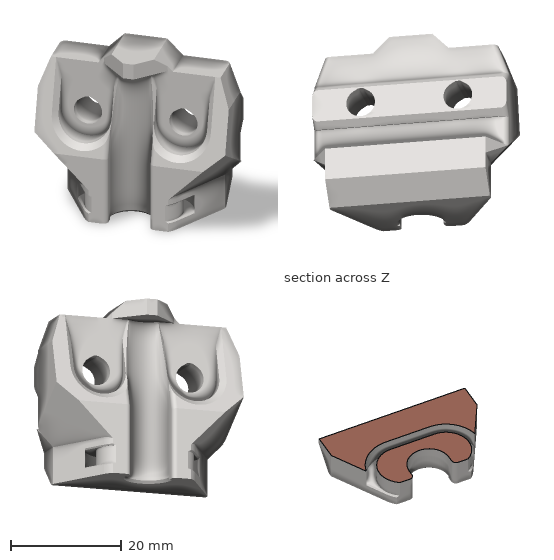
import cadquery as cq
import math

HALF_WIDTH = 18.0
BODY_TOP = 30.0
BODY_BACK = 12.0
FRONT_EDGE_Z = 13.0
FRONT_TOP_Y = 5.0
SHOULDER_HALF_WIDTH = 16.0
SHOULDER_Z = 24.5
BACK_FILLET = 1.0

FLANGE_BACK = 17.0
FLANGE_TOP = 10.0
BASE_HALF_WIDTH = 14.85
BASE_TOP = FLANGE_TOP - (HALF_WIDTH - BASE_HALF_WIDTH)
FLANGE_HEEL_CHAMFER = 4.0
FACET_ANGLE = 30.0
FACET_INSET = BODY_BACK * math.tan(math.radians(FACET_ANGLE))
BASE_FRONT_HALF_WIDTH = BASE_HALF_WIDTH - FACET_INSET
NOSE_RADIUS = 5.0
NOSE_START_Y = 1.41

BUMP_BACK = 13.4
BUMP_CHAMFER = 1.2
BUMP_HALF_HEIGHT = 4.25

HOLE_X = 9.0
HOLE_Z = 20.0
HOLE_RADIUS = 2.65
HOLE_ROOF_ANGLE = 30.0
HOLE_ROOF_HEIGHT = 2.82
POCKET_RADIUS = 5.0
POCKET_FLOOR_Y = FRONT_TOP_Y
POCKET_CHAMFER = 1.0

BORE_RADIUS = 4.0
BORE_Y = 2.0
BORE_LIP_FILLET = 0.9
BORE_CHAMFER = 0.5

TAB_TOP = 33.0
TAB_TOP_HALF_WIDTH = 4.0
TAB_POINT_HALF_WIDTH = 1.0
TAB_NECK_HALF_WIDTH = TAB_POINT_HALF_WIDTH + FRONT_TOP_Y

STRAP_Y = 4.0
STRAP_BEND_RADIUS = 4.7
STRAP_INNER_HALF_WIDTH = 9.15
STRAP_THICKNESS = 2.0
STRAP_BOTTOM = 1.96
STRAP_TOP = 5.2
STRAP_MOUTH_BEVEL = 0.25

CLEAR = 40.0
OVERLAP = 1.0


def box(x0, x1, y0, y1, z0, z1):
    return cq.Workplane("XY").box(x1 - x0, y1 - y0, z1 - z0, centered=False).translate((x0, y0, z0))


def prism_along_x(points_yz, half_length):
    return cq.Workplane("YZ").polyline(points_yz).close().extrude(half_length, both=True)


def prism_along_y(points_xz, y0, y1):
    return cq.Workplane("XZ", origin=(0, y1, 0)).polyline(points_xz).close().extrude(y1 - y0)


def both_sides(solid):
    return solid.union(solid.mirror("YZ"))


def front_face_y(z):
    """Depth of the leaning front face at height z."""
    return FRONT_TOP_Y * (z - FRONT_EDGE_Z) / (BODY_TOP - FRONT_EDGE_Z)


def upper_body():
    outline = [
        (-HALF_WIDTH, 0),
        (-HALF_WIDTH, SHOULDER_Z),
        (-SHOULDER_HALF_WIDTH, BODY_TOP),
        (SHOULDER_HALF_WIDTH, BODY_TOP),
        (HALF_WIDTH, SHOULDER_Z),
        (HALF_WIDTH, 0),
    ]
    block = prism_along_y(outline, 0, BODY_BACK)
    block = block.faces(">Y").edges("not |X").fillet(BACK_FILLET)
    return block.intersect(front_blank())


def front_blank():
    """Oversize solid bounded only by the front face and its leaning upper part."""
    side = [
        (0, -CLEAR),
        (0, FRONT_EDGE_Z),
        (front_face_y(CLEAR), CLEAR),
        (CLEAR, CLEAR),
        (CLEAR, -CLEAR),
    ]
    return prism_along_x(side, CLEAR)


def back_bump():
    """Full-width bump: 45 degree ends with rounded sides, flat back."""
    top = BUMP_HALF_HEIGHT
    root_y = BODY_BACK - 2 * BACK_FILLET
    peak_y = BUMP_BACK - BUMP_CHAMFER + top
    reach = peak_y - root_y
    ridge = prism_along_x([(root_y, -reach), (peak_y, 0), (root_y, reach)], HALF_WIDTH)
    ridge = ridge.faces("<X or >X").edges("not <Y").fillet(BACK_FILLET)
    keep = box(-HALF_WIDTH, HALF_WIDTH, root_y, BUMP_BACK, -top, top)
    return ridge.intersect(keep).translate((0, 0, HOLE_Z))


def foot_flange():
    plan = [
        (-HALF_WIDTH, BODY_BACK),
        (-BASE_HALF_WIDTH, FLANGE_BACK),
        (BASE_HALF_WIDTH, FLANGE_BACK),
        (HALF_WIDTH, BODY_BACK),
    ]
    flange = cq.Workplane("XY").polyline(plan).close().extrude(FLANGE_TOP)
    return flange.faces(">Y").edges("<Z").chamfer(FLANGE_HEEL_CHAMFER)


def flare_half_outline(base_half_width):
    """Half of an area under the 45 degree flare that starts at the given base width."""
    rise = BODY_TOP - BASE_TOP
    low = BASE_TOP - OVERLAP
    return [
        (0, low),
        (base_half_width - OVERLAP, low),
        (base_half_width + rise, BODY_TOP),
        (0, BODY_TOP),
    ]


def flare():
    """Space above the 45 degree underside, which slants inwards in front of BODY_BACK."""
    rear = prism_along_y(flare_half_outline(BASE_HALF_WIDTH), BODY_BACK, FLANGE_BACK)
    front = (
        cq.Workplane("XZ", origin=(0, BODY_BACK, 0))
        .polyline(flare_half_outline(BASE_HALF_WIDTH))
        .close()
        .workplane(offset=BODY_BACK)
        .polyline(flare_half_outline(BASE_FRONT_HALF_WIDTH))
        .close()
        .loft(ruled=True)
    )
    return both_sides(rear.union(front))


def base():
    """Straight-sided base with slanted facets and rounded front corners."""
    angle = math.radians(FACET_ANGLE)
    start_x = BASE_FRONT_HALF_WIDTH + NOSE_START_Y * math.tan(angle)
    center_x = start_x - NOSE_RADIUS * math.cos(angle)
    center_y = NOSE_START_Y + NOSE_RADIUS * math.sin(angle)
    end_angle = -math.asin(center_y / NOSE_RADIUS)
    mid_angle = (end_angle - angle) / 2

    def on_arc(a):
        return (center_x + NOSE_RADIUS * math.cos(a), center_y + NOSE_RADIUS * math.sin(a))

    half = (
        cq.Workplane("XY")
        .lineTo(*on_arc(end_angle))
        .threePointArc(on_arc(mid_angle), (start_x, NOSE_START_Y))
        .lineTo(BASE_HALF_WIDTH, BODY_BACK)
        .lineTo(BASE_HALF_WIDTH, FLANGE_BACK)
        .lineTo(0, FLANGE_BACK)
        .close()
        .extrude(BASE_TOP)
    )
    return both_sides(half)


def top_tab():
    shoulder = TAB_TOP_HALF_WIDTH + TAB_TOP - BODY_TOP
    outline = [
        (-shoulder, BODY_TOP),
        (-TAB_TOP_HALF_WIDTH, TAB_TOP),
        (TAB_TOP_HALF_WIDTH, TAB_TOP),
        (shoulder, BODY_TOP),
    ]
    plan = [
        (-TAB_POINT_HALF_WIDTH, 0),
        (TAB_POINT_HALF_WIDTH, 0),
        (TAB_NECK_HALF_WIDTH, FRONT_TOP_Y),
        (shoulder, FRONT_TOP_Y),
        (shoulder, BODY_BACK),
        (-shoulder, BODY_BACK),
        (-shoulder, FRONT_TOP_Y),
        (-TAB_NECK_HALF_WIDTH, FRONT_TOP_Y),
    ]
    plate = cq.Workplane("XY").polyline(plan).close().extrude(TAB_TOP)
    return prism_along_y(outline, 0, BODY_BACK).intersect(plate)


def screw_pocket():
    """U-shaped pocket open at the top, its rim chamfered along the front face."""
    blank = front_blank()
    left = HOLE_X - POCKET_RADIUS
    right = HOLE_X + POCKET_RADIUS
    round_end = cq.Workplane("XZ", origin=(HOLE_X, 0, HOLE_Z)).circle(POCKET_RADIUS)
    tool = round_end.extrude(CLEAR, both=True)
    tool = tool.union(box(left, right, -CLEAR, CLEAR, HOLE_Z, 2 * CLEAR))
    front_normal = cq.Vector(0, -CLEAR, front_face_y(FRONT_EDGE_Z + CLEAR))
    leaning_face = cq.selectors.ParallelDirSelector(front_normal)
    rim_edges = cq.selectors.BoxSelector(
        (left - OVERLAP, 0, FRONT_EDGE_Z + OVERLAP),
        (right + OVERLAP, CLEAR, CLEAR - OVERLAP),
    )
    opened = blank.cut(tool).faces(leaning_face).edges(rim_edges).chamfer(POCKET_CHAMFER)
    front_part = box(-CLEAR, CLEAR, 0, POCKET_FLOOR_Y, 0, BODY_TOP)
    return blank.cut(opened).intersect(front_part)


def screw_hole():
    """Through hole with a flat-topped roof whose slopes are tangent to the circle."""
    angle = math.radians(HOLE_ROOF_ANGLE)
    tangent_x = HOLE_RADIUS * math.sin(angle)
    tangent_z = HOLE_RADIUS * math.cos(angle)
    flat_x = (HOLE_RADIUS / math.cos(angle) - HOLE_ROOF_HEIGHT) / math.tan(angle)
    profile = (
        cq.Workplane("XZ", origin=(HOLE_X, 0, HOLE_Z))
        .moveTo(tangent_x, tangent_z)
        .threePointArc((0, -HOLE_RADIUS), (-tangent_x, tangent_z))
        .lineTo(-flat_x, HOLE_ROOF_HEIGHT)
        .lineTo(flat_x, HOLE_ROOF_HEIGHT)
        .close()
    )
    return profile.extrude(-FLANGE_BACK)


def bore():
    """Round-backed channel with rounded front lips and a chamfered lower rim."""
    cylinder = cq.Workplane("XY", origin=(0, BORE_Y, 0)).circle(BORE_RADIUS).extrude(BODY_TOP)
    blank = front_blank()
    opened = blank.cut(box(-BORE_RADIUS, BORE_RADIUS, 0, CLEAR / 2, -CLEAR, CLEAR))
    lip_edges = cq.selectors.BoxSelector(
        (-BORE_RADIUS - OVERLAP, -OVERLAP, -CLEAR),
        (BORE_RADIUS + OVERLAP, front_face_y(CLEAR) - OVERLAP, CLEAR),
    )
    opened = opened.edges(lip_edges).edges("not |X").fillet(BORE_LIP_FILLET)
    mouth = blank.cut(opened).intersect(box(-CLEAR, CLEAR, 0, BORE_Y, 0, BODY_TOP))
    rim_radius = BORE_RADIUS + BORE_CHAMFER
    cone = cq.Solid.makeCone(rim_radius, BORE_RADIUS, BORE_CHAMFER, cq.Vector(0, BORE_Y, 0))
    rim = cq.Workplane("XY").add(cone).intersect(box(-CLEAR, CLEAR, BORE_Y, CLEAR, 0, BODY_TOP))
    return cylinder.union(mouth).union(rim)


def strap_loop(margin):
    """Solid with straight sides and round ends, grown by margin from the inner wall of the channel."""
    diameter = 2 * (STRAP_BEND_RADIUS + margin)
    length = 2 * (STRAP_INNER_HALF_WIDTH + margin)
    plane = cq.Workplane("XY", origin=(0, STRAP_Y, STRAP_BOTTOM))
    return plane.slot2D(length, diameter).extrude(STRAP_TOP - STRAP_BOTTOM)


def cut_strap_channel(body):
    """Cuts the loop around the bore and bevels the long edges of its two mouths."""
    body = body.cut(strap_loop(STRAP_THICKNESS).cut(strap_loop(0)))
    for side in (-1, 1):
        mouth_edges = cq.selectors.BoxSelector(
            (side * (BASE_FRONT_HALF_WIDTH - OVERLAP), STRAP_MOUTH_BEVEL, STRAP_BOTTOM - OVERLAP),
            (side * (STRAP_INNER_HALF_WIDTH + OVERLAP), STRAP_Y, STRAP_TOP + OVERLAP),
        )
        body = body.edges(mouth_edges).chamfer(STRAP_MOUTH_BEVEL)
    return body


body = upper_body().union(foot_flange()).union(back_bump())
body = body.intersect(flare().union(base()))
body = body.cut(both_sides(screw_pocket())).cut(both_sides(screw_hole())).cut(bore())
body = cut_strap_channel(body)
result = body.union(top_tab())